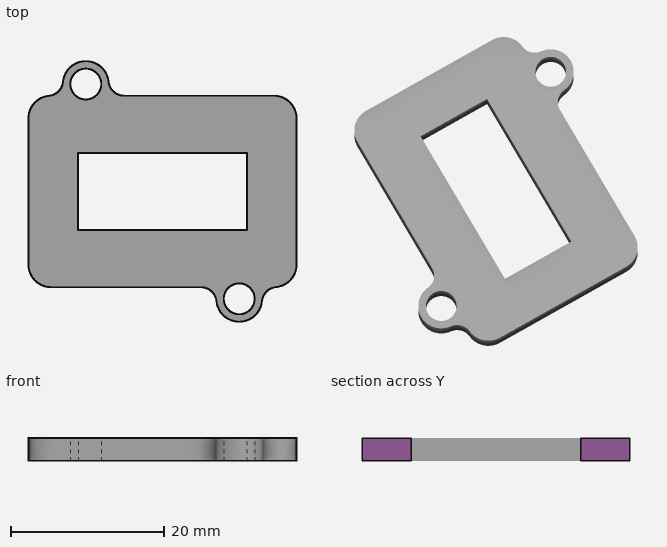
import cadquery as cq
import math

plate_length = 35.0
plate_width = 25.0
thickness = 3.0
corner_radius = 3.0

window_length = 22.0
window_width = 10.0

lug_radius = 3.0
lug_hole_diameter = 4.0
lug_center = (-10.0, 14.0)
blend_radius = 2.0

half_length = plate_length / 2
half_width = plate_width / 2
left_corner_center = (-half_length + corner_radius, half_width - corner_radius)
right_corner_center = (half_length - corner_radius, half_width - corner_radius)


def toward(start, target, distance):
    """Point at a given distance from start on the line to target."""
    span = math.dist(start, target)
    return tuple(s + (t - s) * distance / span for s, t in zip(start, target))


def arc_middle(center, radius, start, end):
    """Middle of the shorter arc from start to end about center."""
    chord_middle = tuple((s + e) / 2 for s, e in zip(start, end))
    return toward(center, chord_middle, radius)


def corner_side_blend_center():
    """Center of the blend touching both the lug and the nearby rounded corner."""
    middle = tuple((a + b) / 2 for a, b in zip(lug_center, left_corner_center))
    half_span = math.dist(lug_center, left_corner_center) / 2
    offset = math.sqrt((lug_radius + blend_radius) ** 2 - half_span**2)
    across_x = (left_corner_center[1] - lug_center[1]) / (2 * half_span)
    across_y = (lug_center[0] - left_corner_center[0]) / (2 * half_span)
    return (middle[0] + offset * across_x, middle[1] + offset * across_y)


def edge_side_blend_center():
    """Center of the blend touching both the lug and the straight long edge."""
    center_y = half_width + blend_radius
    offset_x = math.sqrt((lug_radius + blend_radius) ** 2 - (center_y - lug_center[1]) ** 2)
    return (lug_center[0] + offset_x, center_y)


def half_turn(point):
    return (-point[0], -point[1])


def same_place(point):
    return point


def add_half_outline(sketch, place):
    """Trace from the left edge over the lug to the right edge, clockwise."""
    corner_blend = corner_side_blend_center()
    edge_blend = edge_side_blend_center()

    left_edge_end = (-half_length, left_corner_center[1])
    corner_end = toward(left_corner_center, corner_blend, corner_radius)
    lug_start = toward(lug_center, corner_blend, lug_radius)
    lug_top = (lug_center[0], lug_center[1] + lug_radius)
    lug_end = toward(lug_center, edge_blend, lug_radius)
    long_edge_start = (edge_blend[0], half_width)
    long_edge_end = (right_corner_center[0], half_width)
    right_edge_start = (half_length, right_corner_center[1])

    corner_middle = arc_middle(left_corner_center, corner_radius, left_edge_end, corner_end)
    corner_blend_middle = arc_middle(corner_blend, blend_radius, corner_end, lug_start)
    edge_blend_middle = arc_middle(edge_blend, blend_radius, lug_end, long_edge_start)
    right_middle = arc_middle(right_corner_center, corner_radius, long_edge_end, right_edge_start)

    return (
        sketch.lineTo(*place(left_edge_end))
        .threePointArc(place(corner_middle), place(corner_end))
        .threePointArc(place(corner_blend_middle), place(lug_start))
        .threePointArc(place(lug_top), place(lug_end))
        .threePointArc(place(edge_blend_middle), place(long_edge_start))
        .lineTo(*place(long_edge_end))
        .threePointArc(place(right_middle), place(right_edge_start))
    )


def make_body():
    sketch = cq.Workplane("XY").moveTo(-half_length, -left_corner_center[1])
    for place in (same_place, half_turn):
        sketch = add_half_outline(sketch, place)
    return sketch.close().extrude(thickness)


def make_window():
    return cq.Workplane("XY").rect(window_length, window_width).extrude(thickness)


def make_lug_holes():
    centers = [lug_center, half_turn(lug_center)]
    return cq.Workplane("XY").pushPoints(centers).circle(lug_hole_diameter / 2).extrude(thickness)


result = make_body().cut(make_window()).cut(make_lug_holes())